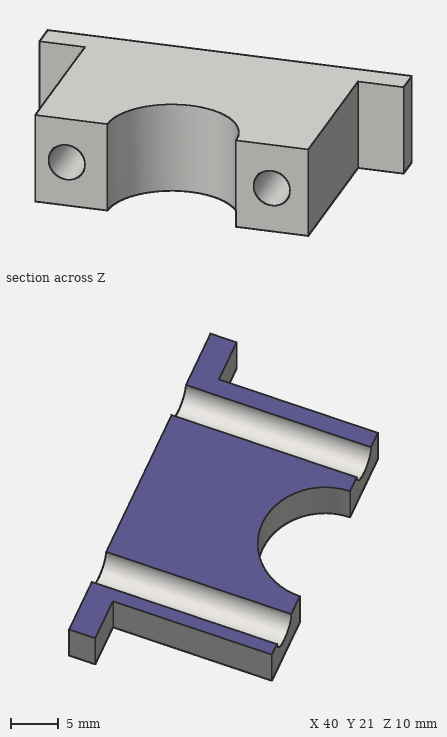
import cadquery as cq

flange_length = 40.0
depth = 21.0
height = 10.0

flange_thickness = 3.0
body_width = 30.0

saddle_diameter = 14.1

hole_diameter = 4.0
hole_spacing = 22.5
right_hole_inset = 4.0
right_hole_x = body_width / 2 - right_hole_inset
left_hole_x = right_hole_x - hole_spacing

flange = cq.Workplane("XY").box(
    flange_length, flange_thickness, height, centered=(True, False, False)
).translate((0, depth - flange_thickness, 0))

body = cq.Workplane("XY").box(body_width, depth, height, centered=(True, False, False))

saddle = cq.Workplane("XY").circle(saddle_diameter / 2).extrude(height)

bolt_holes = (
    cq.Workplane("XZ")
    .pushPoints([(x, height / 2) for x in (left_hole_x, right_hole_x)])
    .circle(hole_diameter / 2)
    .extrude(-depth)
)

result = body.union(flange).cut(saddle).cut(bolt_holes)